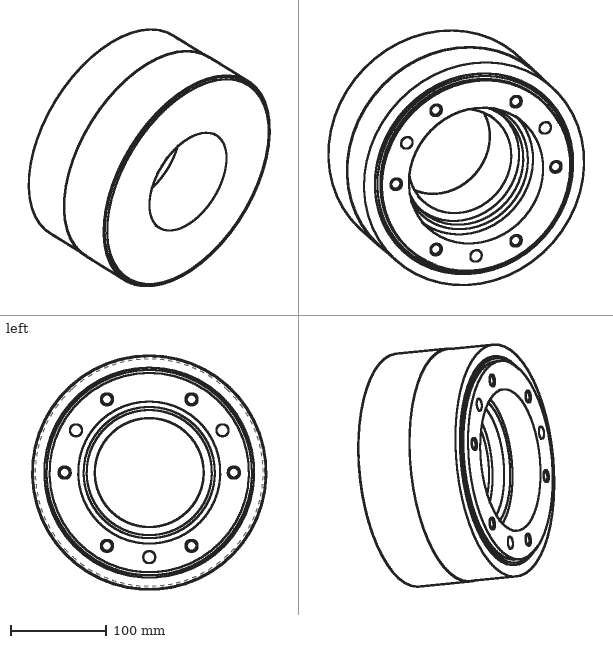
import cadquery as cq
import math

overall_length = 120.65
boss_height = 6.35
collar_height = 0.95
collar_root_depth = 0.55
rim_step_offset = 59.5
lip_length = 1.9

boss_face_x = -overall_length / 2
body_face_x = boss_face_x + boss_height
collar_face_x = body_face_x - collar_height
collar_root_x = body_face_x + collar_root_depth
rim_step_x = boss_face_x + rim_step_offset
end_face_x = overall_length / 2
lip_start_x = end_face_x - lip_length

boss_radius = 104.775
collar_face_radius = 108.0
collar_root_radius = 110.35
body_radius = 122.555
rim_radius = 123.19
lip_start_radius = 121.5
lip_end_radius = 119.65

front_bore_radius = 74.7
front_bore_depth = 32.5
taper_large_radius = 69
taper_small_radius = 65.8
taper_length = 5.5
middle_bore_depth = 51.5
through_bore_radius = 57.15

bolt_circle_radius = 88.9
hole_depth = 25.4
tapped_hole_count = 6
tapped_hole_radius = 5.2
countersink_radius = 6.4
countersink_depth = countersink_radius - tapped_hole_radius
dowel_hole_count = 3
dowel_hole_radius = 6.35
first_dowel_angle = 30


def make_revolved_body():
    """Revolve the half section, held as (x, radius) points, about the X axis."""
    front_bore_x = boss_face_x + front_bore_depth
    taper_end_x = front_bore_x + taper_length
    middle_bore_x = boss_face_x + middle_bore_depth
    outside = [
        (boss_face_x, boss_radius),
        (collar_face_x, boss_radius),
        (collar_face_x, collar_face_radius),
        (collar_root_x, collar_root_radius),
        (body_face_x, collar_root_radius),
        (body_face_x, body_radius),
        (rim_step_x, body_radius),
        (rim_step_x, rim_radius),
        (lip_start_x, rim_radius),
        (lip_start_x, lip_start_radius),
        (end_face_x, lip_end_radius),
    ]
    bore = [
        (end_face_x, through_bore_radius),
        (middle_bore_x, through_bore_radius),
        (middle_bore_x, taper_small_radius),
        (taper_end_x, taper_small_radius),
        (front_bore_x, taper_large_radius),
        (front_bore_x, front_bore_radius),
        (boss_face_x, front_bore_radius),
    ]
    section = cq.Workplane("XZ").polyline(outside + bore).close()
    return section.revolve(360, (0, 0, 0), (1, 0, 0))


def hole_position(angle):
    """Point of the bolt circle on the boss face, with the angle measured from +Y toward +Z."""
    turn = math.radians(angle)
    return cq.Vector(
        boss_face_x,
        bolt_circle_radius * math.cos(turn),
        bolt_circle_radius * math.sin(turn),
    )


def make_hole(angle, radius):
    """Plain blind hole running along +X from the boss face."""
    return cq.Solid.makeCylinder(radius, hole_depth, hole_position(angle), cq.Vector(1, 0, 0))


def make_countersink(angle):
    """45 degree countersink at the mouth of a tapped hole."""
    return cq.Solid.makeCone(
        countersink_radius,
        tapped_hole_radius,
        countersink_depth,
        hole_position(angle),
        cq.Vector(1, 0, 0),
    )


def cut_tapped_holes(part):
    for index in range(tapped_hole_count):
        angle = index * 360 / tapped_hole_count
        part = part.cut(cq.Workplane(make_hole(angle, tapped_hole_radius)))
        part = part.cut(cq.Workplane(make_countersink(angle)))
    return part


def cut_dowel_holes(part):
    for index in range(dowel_hole_count):
        angle = first_dowel_angle + index * 360 / dowel_hole_count
        part = part.cut(cq.Workplane(make_hole(angle, dowel_hole_radius)))
    return part


result = cut_dowel_holes(cut_tapped_holes(make_revolved_body()))